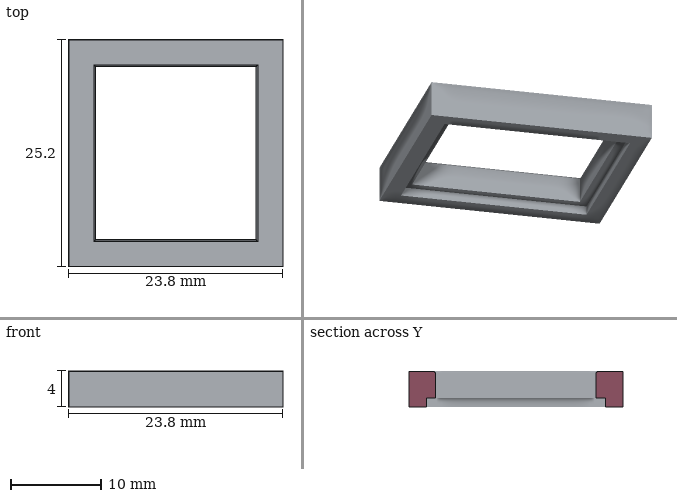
import cadquery as cq

width = 23.8
length = 25.2
height = 4.0

bar_width = 3.0
rim_chamfer = 0.2
step_size = 1.0

opening_width = width - 2 * bar_width
opening_length = length - 2 * bar_width


def make_blank():
    """Plain block standing on Z = 0, centred in X and Y."""
    return cq.Workplane("XY").box(width, length, height, centered=(True, True, False))


def make_opening():
    """Through opening, flared at the top by the rim chamfer."""
    opening = cq.Workplane("XY").rect(opening_width, opening_length).extrude(height)
    flare = (
        cq.Workplane("XY", origin=(0, 0, height))
        .rect(opening_width + 2 * rim_chamfer, opening_length + 2 * rim_chamfer)
        .extrude(-rim_chamfer, taper=45)
    )
    return opening.union(flare)


def make_bottom_step():
    """Shallow wider recess under the opening."""
    return (
        cq.Workplane("XY")
        .rect(opening_width + 2 * step_size, opening_length + 2 * step_size)
        .extrude(step_size)
    )


result = make_blank().cut(make_opening()).cut(make_bottom_step())